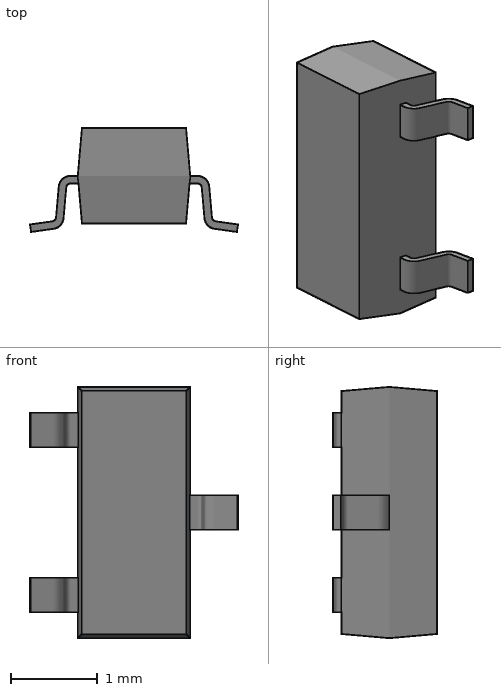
import cadquery as cq
import math

BODY_LENGTH = 2.9
BODY_WIDTH = 1.3
LEAD_SPAN = 2.4
TOTAL_DEPTH = 1.2
STANDOFF = 0.1
BODY_DRAFT = 5.0

LEAD_THICKNESS = 0.09
LEAD_WIDTH = 0.4
LEAD_PITCH = 0.95
SHOULDER_X = 0.73
INNER_RADIUS = 0.05
LEG_TILT = 5.0
FOOT_TILT = 8.0

HALF_DEPTH = (TOTAL_DEPTH - STANDOFF) / 2
PARTING_Y = STANDOFF + HALF_DEPTH
OUTER_RADIUS = INNER_RADIUS + LEAD_THICKNESS
LEG_ANGLE = math.radians(LEG_TILT)
FOOT_ANGLE = math.radians(FOOT_TILT)


def make_body():
    """Moulded block that tapers both ways from its parting plane."""
    parting_plane = cq.Workplane("XZ", origin=(0, PARTING_Y, 0))
    front_half = parting_plane.rect(BODY_WIDTH, BODY_LENGTH).extrude(HALF_DEPTH, taper=BODY_DRAFT)
    back_half = front_half.mirror("XZ", (0, PARTING_Y, 0))
    return front_half.union(back_half, clean=False)


def make_lead():
    """Gull-wing lead on the +X side, centred on Z = 0, its root flush with the drafted body."""
    half_thickness = LEAD_THICKNESS / 2

    shoulder_angle = math.pi / 2 - LEG_ANGLE
    centre_radius = INNER_RADIUS + half_thickness
    shoulder_x = SHOULDER_X + centre_radius * math.tan(shoulder_angle / 2)
    shoulder_y = PARTING_Y - half_thickness
    tip_x = LEAD_SPAN / 2 - half_thickness * math.sin(FOOT_ANGLE)
    tip_y = half_thickness * math.cos(FOOT_ANGLE)
    foot_slope = math.tan(FOOT_ANGLE)
    leg_slope = math.tan(LEG_ANGLE)
    foot_y_at_shoulder = tip_y + foot_slope * (tip_x - shoulder_x)
    leg_drop = (shoulder_y - foot_y_at_shoulder) / (1 - foot_slope * leg_slope)
    ankle_x = shoulder_x + leg_drop * leg_slope
    ankle_y = shoulder_y - leg_drop

    shoulder_dx = half_thickness * math.tan(shoulder_angle / 2)
    ankle_angle = shoulder_angle - FOOT_ANGLE
    miter_length = half_thickness / math.cos(ankle_angle / 2)
    miter_direction = FOOT_ANGLE + ankle_angle / 2
    ankle_dx = miter_length * math.sin(miter_direction)
    ankle_dy = miter_length * math.cos(miter_direction)
    tip_dx = half_thickness * math.sin(FOOT_ANGLE)
    tip_dy = half_thickness * math.cos(FOOT_ANGLE)

    upper_root = (BODY_WIDTH / 2, PARTING_Y)
    upper_shoulder = (shoulder_x + shoulder_dx, PARTING_Y)
    inner_ankle = (ankle_x + ankle_dx, ankle_y + ankle_dy)
    upper_tip = (tip_x + tip_dx, tip_y + tip_dy)
    lower_tip = (tip_x - tip_dx, tip_y - tip_dy)
    outer_ankle = (ankle_x - ankle_dx, ankle_y - ankle_dy)
    lower_shoulder = (shoulder_x - shoulder_dx, PARTING_Y - LEAD_THICKNESS)
    root_setback = LEAD_THICKNESS * math.tan(math.radians(BODY_DRAFT))
    lower_root = (BODY_WIDTH / 2 - root_setback, PARTING_Y - LEAD_THICKNESS)

    corners = [upper_root, upper_shoulder, inner_ankle, upper_tip,
               lower_tip, outer_ankle, lower_shoulder, lower_root]
    lead = cq.Workplane("XY").polyline(corners).close().extrude(LEAD_WIDTH / 2, both=True)

    for (x, y), radius in [(upper_shoulder, OUTER_RADIUS), (lower_shoulder, INNER_RADIUS),
                           (outer_ankle, OUTER_RADIUS), (inner_ankle, INNER_RADIUS)]:
        bend_edge = cq.selectors.NearestToPointSelector((x, y, 0))
        lead = lead.edges("|Z").edges(bend_edge).fillet(radius)
    return lead


body = make_body()
right_lead = make_lead()
left_lead = right_lead.rotate((0, 0, 0), (0, 1, 0), 180)
left_leads = [left_lead.translate((0, 0, side * LEAD_PITCH)) for side in (-1, 1)]

result = cq.Compound.makeCompound([
    body.val(),
    right_lead.val(),
    *[lead.val() for lead in left_leads],
])